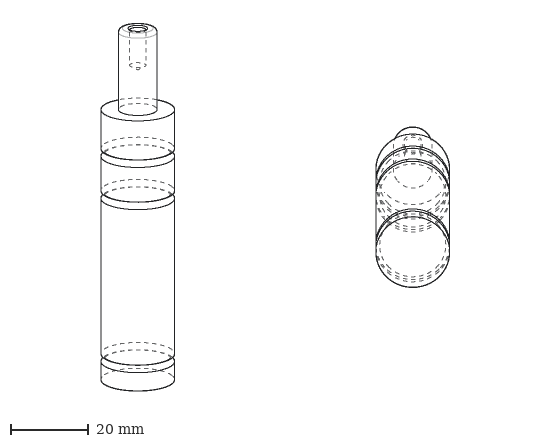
import cadquery as cq
import math

total_length = 95.0
body_diameter = 19.0
rod_diameter = 10.0
rod_length = 21.9
rod_tip_fillet = 1.0

groove_width = 2.0
groove_heights = (6.0, 50.1, 61.5)

hole_diameter = 4.2
hole_mouth_diameter = 5.0
hole_depth = 10.0
drill_point_angle = 118.0

body_length = total_length - rod_length


def make_body():
    """Cylindrical body standing on the base plane."""
    return cq.Workplane("XY").circle(body_diameter / 2).extrude(body_length)


def make_rod():
    """Rod on top of the body, with a rounded tip."""
    rod = cq.Workplane("XY").workplane(offset=body_length).circle(rod_diameter / 2).extrude(rod_length)
    return rod.faces(">Z").edges().fillet(rod_tip_fillet)


def make_groove(height):
    """Ring that cuts a half-round groove around the body."""
    profile = cq.Workplane("XZ").center(body_diameter / 2, height).circle(groove_width / 2)
    axis_offset = -body_diameter / 2
    return profile.revolve(360, (axis_offset, 0, 0), (axis_offset, 1, 0))


def make_hole():
    """Blind hole with a 45 degree countersunk mouth and a conical drill point."""
    radius = hole_diameter / 2
    mouth_radius = hole_mouth_diameter / 2
    mouth_depth = mouth_radius - radius
    point_depth = radius / math.tan(math.radians(drill_point_angle / 2))
    floor = total_length - hole_depth
    outline = [
        (0, total_length),
        (mouth_radius, total_length),
        (radius, total_length - mouth_depth),
        (radius, floor),
        (0, floor - point_depth),
    ]
    return cq.Workplane("XZ").polyline(outline).close().revolve(360, (0, 0, 0), (0, 1, 0))


result = make_body().union(make_rod())
for groove_height in groove_heights:
    result = result.cut(make_groove(groove_height))
result = result.cut(make_hole())